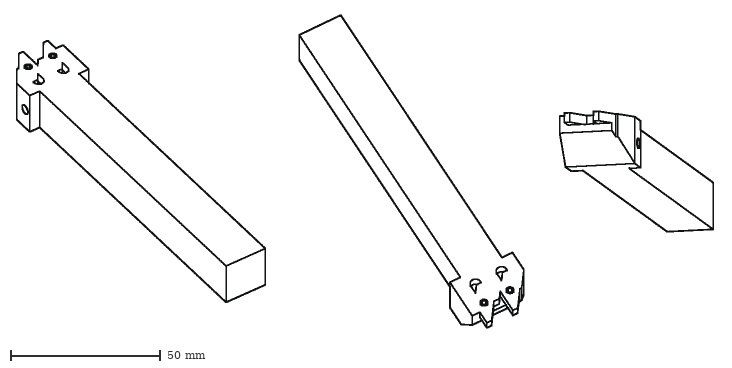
import cadquery as cq
import math

length = 130.0
height = 16.0
shank_width = 16.0
head_width = 24.0
head_back = 20.0
half_head = head_width / 2

nose_x = 4.8
nose_height = 5.8
underside_x = 12.4
lead_x = 6.2
lead_y = -7.8
slope = math.tan(math.radians(35))
chamfer_x = lead_x + (lead_y + half_head) / slope

insert_length = 14.8
insert_width = 6.1
insert_thickness = 3.2
tip_width = 1.8
insert_side = insert_length - (insert_width - tip_width) / slope
insert_top_y = 9.1
insert_pitch = 10.0
insert_tops = (insert_top_y, insert_top_y - insert_pitch)

groove_radius = 1.3
screw_radius = 0.8
groove_depth = 0.8

slot_radius = 1.8
slot_end_x = 15.3

side_recess_x = 17.2
side_recess_z = -8.2
side_recess_radius = 1.7
side_recess_depth = 0.1


def plate(points, depth):
    """Extrude an XY outline down from the top face."""
    return cq.Workplane("XY").polyline(points).close().extrude(-depth)


def insert_outline(top_y):
    bottom_y = top_y - insert_width
    return [
        (0, top_y),
        (insert_side, top_y),
        (insert_length, bottom_y + tip_width),
        (insert_length, bottom_y),
        (insert_length - insert_side, bottom_y),
        (0, top_y - tip_width),
    ]


def make_head():
    lower_bottom_y = insert_tops[1] - insert_width
    nose_corner_y = insert_tops[1] - tip_width - slope * nose_x
    lead_corner_y = nose_corner_y - slope * (lead_x - nose_x)
    plan = plate(
        [
            (nose_x, half_head),
            (head_back, half_head),
            (head_back, -half_head),
            (chamfer_x, -half_head),
            (lead_x, lead_y),
            (lead_x, lead_corner_y),
            (nose_x, nose_corner_y),
        ],
        height,
    )
    profile = (
        cq.Workplane("XZ")
        .polyline(
            [
                (nose_x, 0),
                (head_back, 0),
                (head_back, -height),
                (underside_x, -height),
                (nose_x, -nose_height),
            ]
        )
        .close()
        .extrude(half_head, both=True)
    )
    lower_wall_y = insert_tops[1] + slope * (insert_side - lead_x)
    clearance = plate(
        [
            (0, insert_tops[0]),
            (lead_x, insert_tops[0]),
            (lead_x, lower_wall_y),
            (insert_side, insert_tops[1]),
            (insert_side, lower_bottom_y),
            (lead_x, lower_bottom_y),
            (0, lower_bottom_y),
        ],
        insert_thickness,
    )
    return plan.intersect(profile).cut(clearance)


def relief_slot(top_y):
    center_y = top_y - insert_width + slot_radius
    bar = (
        cq.Workplane("XY")
        .center((insert_side + slot_end_x) / 2, center_y)
        .rect(slot_end_x - insert_side, 2 * slot_radius)
        .extrude(-insert_thickness)
    )
    end = cq.Workplane("XY").center(slot_end_x, center_y).circle(slot_radius).extrude(-insert_thickness)
    return bar.union(end)


def screw_groove(top_y):
    center = (insert_length / 2, top_y - insert_width / 2)
    return cq.Workplane("XY").center(*center).circle(groove_radius).circle(screw_radius).extrude(-groove_depth)


shank = cq.Workplane("XY").box(length - head_back, shank_width, height, centered=False)
shank = shank.translate((head_back, -shank_width / 2, -height))
result = make_head().union(shank)

for top in insert_tops:
    result = result.cut(relief_slot(top)).cut(plate(insert_outline(top), insert_thickness))

for top in insert_tops:
    insert = plate(insert_outline(top), insert_thickness).cut(screw_groove(top))
    result = result.union(insert, clean=False)

side_recess = (
    cq.Workplane("XZ", origin=(side_recess_x, -half_head, side_recess_z))
    .circle(side_recess_radius)
    .extrude(-side_recess_depth)
)
result = result.cut(side_recess, clean=False)